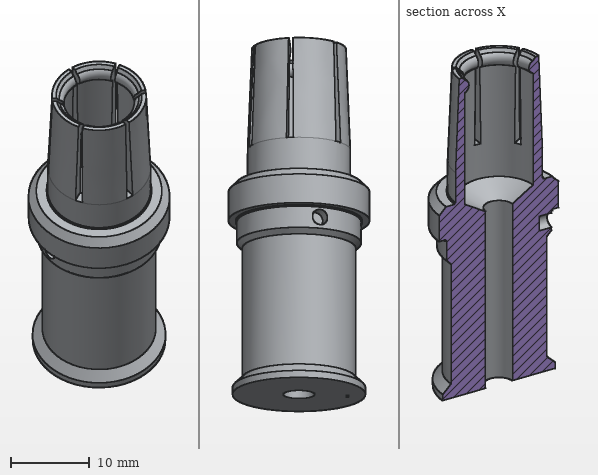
import cadquery as cq
import math

pip_height = 0.15
foot_top = 1.05
foot_cone_top = 2.25
boss_bottom = 19.4
boss_chamfer_top = 20.05
flange_bottom = 23.05
shoulder_height = 0.2
flange_top = 27.8
flange_chamfer = 1.0
slot_floor = 32.35
total_height = 45.6

foot_radius = 8.5
body_radius = 7.25
boss_radius = 7.95
flange_radius = 9.005
shoulder_step = 0.15
sleeve_radius = 6.55
tip_radius = 6.0

through_radius = 2.0
bore_radius = 5.1
bore_floor = 27.35
funnel_slope = math.radians(31)
lip_radius = 4.45
mouth_radius = 5.45
lip_bottom = 43.3
lip_height = 44.25
mouth_chamfer_bottom = 45.15
mouth_inner_radius = 5.05

slot_count = 6
slot_base_width = 0.9
slot_tip_width = 0.55

side_hole_diameter = 2.0
side_hole_height = (boss_chamfer_top + flange_bottom) / 2
side_hole_depth = 1.82
pip_radius = 0.2
pip_x = 6.0
pip_y = -1.5


def make_turned_body():
    """Revolve the outside profile around Z."""
    flange_face_radius = flange_radius - flange_chamfer
    profile = (
        cq.Workplane("XZ")
        .moveTo(0, pip_height)
        .lineTo(foot_radius, pip_height)
        .lineTo(foot_radius, foot_top)
        .lineTo(body_radius, foot_cone_top)
        .lineTo(body_radius, boss_bottom)
        .lineTo(boss_radius, boss_chamfer_top)
        .lineTo(boss_radius, flange_bottom - shoulder_height)
        .lineTo(boss_radius + shoulder_step, flange_bottom - shoulder_height)
        .lineTo(boss_radius + shoulder_step, flange_bottom)
        .lineTo(flange_radius, flange_bottom)
        .lineTo(flange_radius, flange_top - flange_chamfer)
        .lineTo(flange_face_radius, flange_top)
        .lineTo(sleeve_radius + shoulder_step, flange_top)
        .lineTo(sleeve_radius + shoulder_step, flange_top + shoulder_height)
        .lineTo(sleeve_radius, flange_top + shoulder_height)
        .lineTo(sleeve_radius, slot_floor)
        .lineTo(tip_radius, total_height)
        .lineTo(0, total_height)
        .close()
    )
    return profile.revolve(360, (0, 0), (0, 1))


def make_bore():
    """Through hole, drill-point funnel, contact bore, and rounded inner lip at the mouth."""
    funnel_bottom = bore_floor - (bore_radius - through_radius) * math.tan(funnel_slope)
    profile = (
        cq.Workplane("XZ")
        .lineTo(through_radius, 0)
        .lineTo(through_radius, funnel_bottom)
        .lineTo(bore_radius, bore_floor)
        .lineTo(bore_radius, lip_bottom)
        .threePointArc((lip_radius, lip_height), (mouth_inner_radius, mouth_chamfer_bottom))
        .lineTo(mouth_radius, total_height)
        .lineTo(0, total_height)
        .close()
    )
    return profile.revolve(360, (0, 0), (0, 1))


def make_slot(angle):
    """Radial slot that narrows toward the finger tips."""
    outline = [
        (-slot_base_width / 2, slot_floor),
        (slot_base_width / 2, slot_floor),
        (slot_tip_width / 2, total_height),
        (-slot_tip_width / 2, total_height),
    ]
    slot = cq.Workplane("YZ").polyline(outline).close().extrude(flange_radius)
    return slot.rotate((0, 0, 0), (0, 0, 1), angle)


def make_side_hole():
    """Blind hole drilled into the -Y side of the boss."""
    return (
        cq.Workplane("XZ", origin=(0, side_hole_depth - boss_radius, side_hole_height))
        .circle(side_hole_diameter / 2)
        .extrude(flange_radius)
    )


def make_pip():
    """Small pip on the underside, sunk into the foot."""
    return cq.Workplane("XY").center(pip_x, pip_y).circle(pip_radius).extrude(foot_top)


result = make_turned_body().cut(make_bore())
for index in range(slot_count):
    result = result.cut(make_slot(index * 360 / slot_count))
result = result.cut(make_side_hole()).union(make_pip())